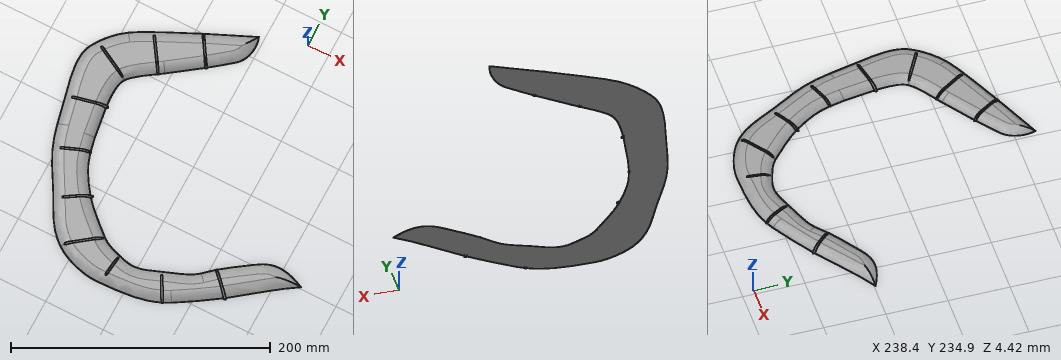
import cadquery as cq
import math

BODY_HEIGHT = 4.0
RIB_CREST = 4.42
FLANK_WIDTH = 9.0

FLANK_RADIUS = (FLANK_WIDTH**2 + BODY_HEIGHT**2) / (2 * BODY_HEIGHT)

CUT_MARGIN = 0.6

PIECES_PER_EDGE = 5

RIB_RADIUS = 1.0
RIB_AXIS_HEIGHT = RIB_CREST - RIB_RADIUS
FOOT_DEPTH = 1.0

UPPER_TIP = (114.9, 234.86)
LOWER_TIP = (238.4, 68.7)

OUTER_EDGE = [
    UPPER_TIP,
    (76, 217.5),
    (41, 200.8),
    (22.5, 190.3),
    (6, 173),
    (1.2, 163.5),
    (0, 152),
    (2, 136.5),
    (6, 119),
    (15.5, 82),
    (34.5, 46.5),
    (48.5, 22.5),
    (63, 9.5),
    (76.5, 3.5),
    (90, 0.4),
    (105.5, 0.2),
    (122, 1.3),
    (138, 4),
    (150.5, 8.5),
    (171, 20.5),
    (191.4, 34.2),
    (218.3, 54.9),
    LOWER_TIP,
]
INNER_EDGE = [
    UPPER_TIP,
    (115.9, 220.5),
    (112.5, 212),
    (103.5, 203.5),
    (90.5, 193.5),
    (60.5, 172),
    (45, 161),
    (38.5, 153.5),
    (36.8, 146),
    (37, 133),
    (38.2, 122),
    (41.8, 99.5),
    (47.5, 80),
    (54, 68.5),
    (62, 57.5),
    (82, 38),
    (88, 33),
    (103.5, 26.5),
    (113.5, 24.2),
    (122.5, 25),
    (139.6, 31.4),
    (160.5, 40),
    (174.1, 51.4),
    (193.7, 65.4),
    (206, 73),
    (215.5, 75),
    (229.5, 72.5),
    LOWER_TIP,
]

RIBS = [
    ((75.8, 216.8), (90.6, 193.3), 7.3, 8.4),
    ((42.2, 199.1), (60.1, 171.9), 6.3, 8.8),
    ((10.6, 171.0), (39.1, 155.5), 3.5, 9.2),
    ((9.8, 123.3), (38.4, 129.9), 3.5, 9.8),
    ((20.8, 82.2), (43.6, 91.2), 3.5, 8.7),
    ((40.7, 46.8), (61.7, 59.9), 3.5, 9.8),
    ((61.0, 15.0), (85.7, 33.5), 3.5, 7.3),
    ((100.8, 5.4), (103.0, 25.9), 3.5, 8.4),
    ((149.4, 8.1), (137.8, 29.4), 8.3, 7.9),
    ((191.0, 33.0), (174.0, 50.9), 9.1, 8.3),
]


def edge_curve(points):
    """Smooth curve through the points of a long edge."""
    return cq.Edge.makeSpline([cq.Vector(x, y, 0) for x, y in points])


def edge_pieces(curve):
    """Lengths that together make up a long edge."""
    step = (curve._bounds()[1] - curve._bounds()[0]) / PIECES_PER_EDGE
    return [curve.trim(i * step, (i + 1) * step) for i in range(PIECES_PER_EDGE)]


def blank():
    """Band with upright sides."""
    wire = cq.Wire.assembleEdges([edge_curve(OUTER_EDGE), edge_curve(INNER_EDGE)])
    return cq.Workplane(cq.Solid.extrudeLinear(wire, [], cq.Vector(0, 0, BODY_HEIGHT)))


def flank_cutter(path, inward_sign):
    """Solid above the flank arc along one piece of a long edge."""
    tangent = path.tangentAt(0)
    inward = cq.Vector(-tangent.y, tangent.x, 0) * inward_sign
    up = cq.Vector(0, 0, 1)
    plane = cq.Plane(origin=path.startPoint(), xDir=inward, normal=inward.cross(up))
    mid_angle = math.asin(FLANK_WIDTH / FLANK_RADIUS) / 2
    arc_mid = (
        FLANK_WIDTH - FLANK_RADIUS * math.sin(mid_angle),
        BODY_HEIGHT - FLANK_RADIUS * (1 - math.cos(mid_angle)),
    )
    cut_top = BODY_HEIGHT + CUT_MARGIN
    profile = (
        cq.Workplane(plane)
        .moveTo(0, 0)
        .threePointArc(arc_mid, (FLANK_WIDTH, BODY_HEIGHT))
        .lineTo(FLANK_WIDTH, cut_top)
        .lineTo(-CUT_MARGIN, cut_top)
        .lineTo(-CUT_MARGIN, 0)
        .close()
    )
    return profile.sweep(cq.Workplane(cq.Wire.assembleEdges([path])))


def flanked_body():
    """Band with both long sides rounded down to the base."""
    body = blank()
    for points, inward_sign in ((OUTER_EDGE, 1), (INNER_EDGE, -1)):
        for path in edge_pieces(edge_curve(points)):
            body = body.cut(flank_cutter(path, inward_sign))
    return body


def above_base():
    """Block that holds everything above the base plane."""
    size = 4 * max(LOWER_TIP[0], UPPER_TIP[1])
    return cq.Workplane("XY").rect(size, size).extrude(2 * BODY_HEIGHT)


def rib(outer_foot, inner_foot, outer_reach, inner_reach):
    """Round bead that rises from below the base, crosses the top level and dips down again."""
    outer = cq.Vector(*outer_foot, -FOOT_DEPTH)
    inner = cq.Vector(*inner_foot, -FOOT_DEPTH)
    level = (inner - outer).normalized()
    rise = cq.Vector(0, 0, RIB_AXIS_HEIGHT + FOOT_DEPTH)
    crest_start = outer + level * outer_reach + rise
    crest_end = inner - level * inner_reach + rise
    outer_leg = cq.Edge.makeTangentArc(crest_start, level * -1, outer)
    crest = cq.Edge.makeLine(crest_start, crest_end)
    inner_leg = cq.Edge.makeTangentArc(crest_end, level, inner)
    path = cq.Wire.assembleEdges([outer_leg, crest, inner_leg])
    sections = [
        cq.Wire.makeCircle(RIB_RADIUS, outer, outer_leg.tangentAt(1) * -1),
        cq.Wire.makeCircle(RIB_RADIUS, crest_end, level),
        cq.Wire.makeCircle(RIB_RADIUS, inner, inner_leg.tangentAt(1)),
    ]
    bead = cq.Workplane(cq.Solid.sweep_multi(sections, path))
    return bead.intersect(above_base())


result = flanked_body()
for rib_sizes in RIBS:
    result = result.union(rib(*rib_sizes))